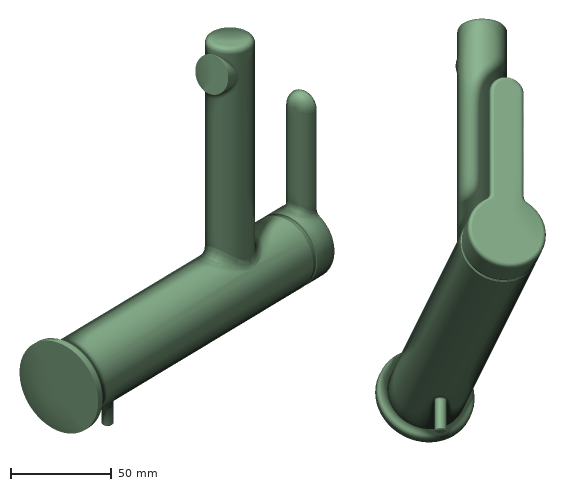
import cadquery as cq
import math

TOTAL_LENGTH = 197.8

FLANGE_DIAMETER = 50.0
FLANGE_THICKNESS = 5.0
FLANGE_FILLET = 2.0

BODY_DIAMETER = 40.0
BODY_RADIUS = BODY_DIAMETER / 2
BODY_END_CHAMFER = 0.5
CAP_THICKNESS = 15.2
NECK_LENGTH = 2.4
NECK_DIAMETER = BODY_DIAMETER - 1.5
CAP_START = TOTAL_LENGTH - CAP_THICKNESS
BODY_END = CAP_START - NECK_LENGTH

SPOUT_Y = 137.7
SPOUT_DIAMETER = 25.0
SPOUT_TOP = 140.0
SPOUT_TOP_FILLET = 3.0
SPOUT_ROOT_FILLET = 6.0

NOZZLE_DIAMETER = 20.8
NOZZLE_LENGTH = 11.9
NOZZLE_TILT = 10.0
NOZZLE_FACE_Y = 123.0
NOZZLE_FACE_Z = 125.0

LEVER_TOP = 85.3
LEVER_WIDTH = 17.5
LEVER_THICKNESS = 8.1
LEVER_FLAT_WIDTH = 4.2
LEVER_ROOT_FILLET = 3.5
HANDLE_BACK_FILLET = 2.0

SELECTION_MARGIN = 0.4

PIN_DIAMETER = 6.0
PIN_Y = 39.2
PIN_BOTTOM = -37.4
PIN_CHAMFER = 0.5
PIN_SOCKET_DEPTH = 6.0


def disc_along_y(diameter, start, end):
    """Cylinder on the body axis between two Y positions."""
    plane = cq.Plane(origin=(0, start, 0), xDir=(1, 0, 0), normal=(0, 1, 0))
    return cq.Workplane(plane).circle(diameter / 2).extrude(end - start)


def make_flange():
    flange = disc_along_y(FLANGE_DIAMETER, 0, FLANGE_THICKNESS)
    return flange.faces(">Y").edges().fillet(FLANGE_FILLET)


def make_nozzle():
    tilt = math.radians(NOZZLE_TILT)
    inward = (0, math.cos(tilt), -math.sin(tilt))
    face_plane = cq.Plane(origin=(0, NOZZLE_FACE_Y, NOZZLE_FACE_Z), xDir=(1, 0, 0), normal=inward)
    return cq.Workplane(face_plane).circle(NOZZLE_DIAMETER / 2).extrude(NOZZLE_LENGTH)


def make_pin():
    pin_top = PIN_SOCKET_DEPTH - BODY_RADIUS
    pin = (
        cq.Workplane("XY", origin=(0, PIN_Y, PIN_BOTTOM))
        .circle(PIN_DIAMETER / 2)
        .extrude(pin_top - PIN_BOTTOM)
    )
    return pin.faces("<Z").edges().chamfer(PIN_CHAMFER)


def make_body(nozzle, pin):
    """Body tube with its blended spout, and sockets for the nozzle and the pin."""
    tube = disc_along_y(BODY_DIAMETER, FLANGE_THICKNESS, BODY_END)
    tube = tube.faces(">Y").edges().chamfer(BODY_END_CHAMFER)
    spout = (
        cq.Workplane("XY", origin=(0, SPOUT_Y, 0))
        .circle(SPOUT_DIAMETER / 2)
        .extrude(SPOUT_TOP)
    )
    spout = spout.faces(">Z").edges().fillet(SPOUT_TOP_FILLET)
    root_box = cq.selectors.BoxSelector(
        (-SPOUT_DIAMETER, SPOUT_Y - SPOUT_DIAMETER, 0),
        (SPOUT_DIAMETER, SPOUT_Y + SPOUT_DIAMETER, BODY_DIAMETER),
    )
    body = tube.union(spout).edges(root_box).fillet(SPOUT_ROOT_FILLET)
    return body.cut(nozzle).cut(pin)


def make_neck():
    return disc_along_y(NECK_DIAMETER, BODY_END, CAP_START)


def half_lever_section(level):
    """Half of the D-shaped lever section at a given height, with a rounded front corner."""
    half_width = LEVER_WIDTH / 2
    half_flat = LEVER_FLAT_WIDTH / 2
    corner_radius = half_width - half_flat
    front = TOTAL_LENGTH - LEVER_THICKNESS
    return (
        cq.Workplane("XY", origin=(0, 0, level))
        .moveTo(0, TOTAL_LENGTH)
        .lineTo(0, front)
        .lineTo(half_flat, front)
        .radiusArc((half_width, front + corner_radius), -corner_radius)
        .lineTo(half_width, TOTAL_LENGTH)
        .close()
    )


def make_lever():
    """D-shaped bar: half of its section is revolved to make the domed tip."""
    dome_base = LEVER_TOP - LEVER_WIDTH / 2
    half_bar = half_lever_section(0).extrude(dome_base)
    bar = half_bar.union(half_bar.mirror("YZ"))
    dome = half_lever_section(dome_base).revolve(180, (0, 0, 0), (0, -1, 0))
    return bar.union(dome)


def make_handle():
    """Round cap with the lever blended into its rim."""
    cap = disc_along_y(BODY_DIAMETER, CAP_START, TOTAL_LENGTH)
    handle = cap.union(make_lever())
    side_reach = LEVER_WIDTH / 2 + SELECTION_MARGIN
    root_box = cq.selectors.BoxSelector(
        (-side_reach, CAP_START + SELECTION_MARGIN, BODY_RADIUS / 2),
        (side_reach, TOTAL_LENGTH - SELECTION_MARGIN, BODY_RADIUS + SELECTION_MARGIN),
    )
    handle = handle.edges(root_box).fillet(LEVER_ROOT_FILLET)
    return handle.faces(">Y").edges().fillet(HANDLE_BACK_FILLET)


flange = make_flange()
nozzle = make_nozzle()
pin = make_pin()
body = make_body(nozzle, pin)
neck = make_neck()
handle = make_handle()

result = cq.Compound.makeCompound(
    [flange.val(), body.val(), neck.val(), handle.val(), nozzle.val(), pin.val()]
)